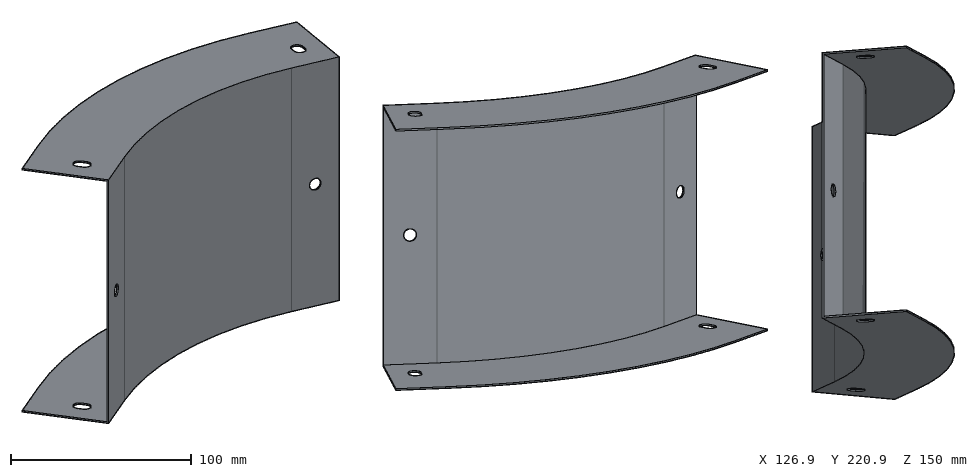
import cadquery as cq
import math

bend_angle = 45.0
inner_radius = 190.0
flange_width = 50.0
straight_length = 30.0
height = 150.0
thickness = 1.0

hole_diameter = 7.0
slot_length = 10.2
slot_from_wall = 20.0
hole_from_end = straight_length / 2

bend_center_x = flange_width + inner_radius


def bend_point(radius, angle):
    """Point on the bend, with the angle measured from the first straight end."""
    turn = math.radians(angle)
    return (
        bend_center_x - radius * math.cos(turn),
        straight_length + radius * math.sin(turn),
    )


def end_point(radius):
    """Corner at the tip of the angled straight end."""
    x, y = bend_point(radius, bend_angle)
    turn = math.radians(bend_angle)
    return (
        x + straight_length * math.sin(turn),
        y + straight_length * math.cos(turn),
    )


def curved_strip(small_radius, large_radius, depth):
    """Straight, bend and straight strip between two concentric radii."""
    half_angle = bend_angle / 2
    return (
        cq.Workplane("XY")
        .moveTo(bend_center_x - large_radius, 0)
        .lineTo(*bend_point(large_radius, 0))
        .threePointArc(bend_point(large_radius, half_angle), bend_point(large_radius, bend_angle))
        .lineTo(*end_point(large_radius))
        .lineTo(*end_point(small_radius))
        .lineTo(*bend_point(small_radius, bend_angle))
        .threePointArc(bend_point(small_radius, half_angle), bend_point(small_radius, 0))
        .lineTo(bend_center_x - small_radius, 0)
        .close()
        .extrude(depth)
    )


def end_cutters():
    """Flange slots and wall hole for the straight end along Y."""
    slots = (
        cq.Workplane("XY")
        .center(flange_width - slot_from_wall, hole_from_end)
        .slot2D(slot_length, hole_diameter)
        .extrude(height)
    )
    wall_hole = (
        cq.Workplane("YZ", origin=(flange_width - thickness, 0, 0))
        .center(hole_from_end, height / 2)
        .circle(hole_diameter / 2)
        .extrude(2 * thickness, both=True)
    )
    return slots.union(wall_hole)


outer_radius = inner_radius + flange_width
wall = curved_strip(inner_radius, inner_radius + thickness, height)
flange = curved_strip(inner_radius, outer_radius, thickness)
top_flange = flange.translate((0, 0, height - thickness))
channel = wall.union(flange).union(top_flange)

first_end = end_cutters()
half_turn = math.radians(bend_angle / 2)
mirror_normal = cq.Vector(math.sin(half_turn), math.cos(half_turn), 0)
second_end = first_end.mirror(mirror_normal, (bend_center_x, straight_length, 0))

result = channel.cut(first_end).cut(second_end)